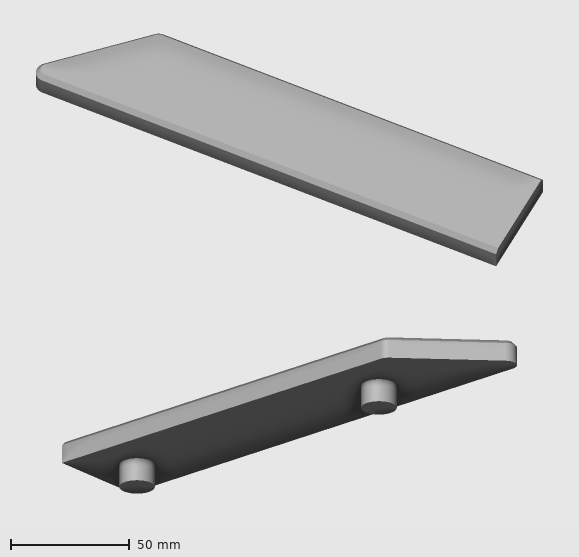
import cadquery as cq
import math

length = 218.0
width = 45.0
plate_thickness = 10.0
corner_radius = 5.0
top_chamfer = 2.0
slant_angle = 45.0

pin_diameter = 15.0
pin_length = 10.0
pin_spacing = 135.1
pin_end_distance = width / 2

slant = math.radians(slant_angle)
sharp_tip_x = corner_radius - corner_radius / math.tan(slant / 2)
slant_top_x = sharp_tip_x + width / math.tan(slant)


def make_plate():
    """Plate with a slanted, rounded left end and a square right end."""
    outline = [(sharp_tip_x, 0), (length, 0), (length, width), (slant_top_x, width)]
    plate = cq.Workplane("XY").polyline(outline).close().extrude(plate_thickness)
    plate = plate.edges("|Z and (not >X)").fillet(corner_radius)
    return plate.faces(">Z").edges("not >X").chamfer(top_chamfer)


def make_pins():
    """Two round pins on the plate's centre line, below its underside."""
    far_pin_x = length - pin_end_distance
    centres = [(far_pin_x - pin_spacing, width / 2), (far_pin_x, width / 2)]
    return cq.Workplane("XY").pushPoints(centres).circle(pin_diameter / 2).extrude(-pin_length)


result = make_plate().union(make_pins())